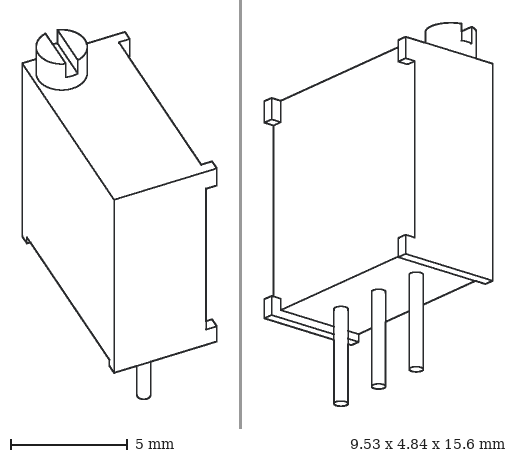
import cadquery as cq

housing_width = 9.53
total_depth = 4.84
housing_height = 10.03
foot_width = 0.5
foot_height = 0.35
tab_width = 0.5
tab_depth = 0.51
upper_tab_height = 1.0
lower_tab_height = 0.89

screw_diameter = 2.2
screw_height = 1.51
screw_side_offset = 1.26
screw_front_offset = 1.29
slot_width = 0.56
slot_depth = 0.78

pin_count = 3
pin_diameter = 0.6
pin_pitch = 2.53
pin_front_offset = 2.41
total_height = 15.55

half_width = housing_width / 2
block_depth = total_depth - tab_depth
pin_reach = total_height - screw_height - housing_height


def box_from(x, y, z, width, depth, height):
    """Box with its lowest corner at (x, y, z)."""
    return cq.Workplane("XY").box(width, depth, height, centered=False).translate((x, y, z))


def make_housing():
    """Block with a raised floor between two side feet and four rear corner tabs."""
    block = box_from(-half_width, 0, 0, housing_width, block_depth, housing_height)
    for tab_x in (-half_width, half_width - tab_width):
        lower_tab = box_from(tab_x, block_depth, 0, tab_width, tab_depth, lower_tab_height)
        upper_tab_z = housing_height - upper_tab_height
        upper_tab = box_from(tab_x, block_depth, upper_tab_z, tab_width, tab_depth, upper_tab_height)
        block = block.union(lower_tab).union(upper_tab)
    floor_width = housing_width - 2 * foot_width
    floor_gap = box_from(-floor_width / 2, 0, 0, floor_width, total_depth, foot_height)
    return block.cut(floor_gap)


def make_screw():
    """Round screw head standing on the housing, with a driver slot along X."""
    head = cq.Workplane("XY").circle(screw_diameter / 2).extrude(screw_height)
    slot = box_from(
        -screw_diameter / 2, -slot_width / 2, screw_height - slot_depth,
        screw_diameter, slot_width, slot_depth,
    )
    screw_x = screw_side_offset - half_width
    return head.cut(slot).translate((screw_x, screw_front_offset, housing_height))


def make_pin(x):
    """Round terminal hanging from the raised floor of the housing."""
    return (
        cq.Workplane("XY", origin=(x, pin_front_offset, -pin_reach))
        .circle(pin_diameter / 2)
        .extrude(pin_reach + foot_height)
    )


housing = make_housing()
screw = make_screw()
pins = []
for index in range(pin_count):
    pin_x = (index - (pin_count - 1) / 2) * pin_pitch
    pins.append(make_pin(pin_x).val())

result = cq.Compound.makeCompound([housing.val(), screw.val(), *pins])